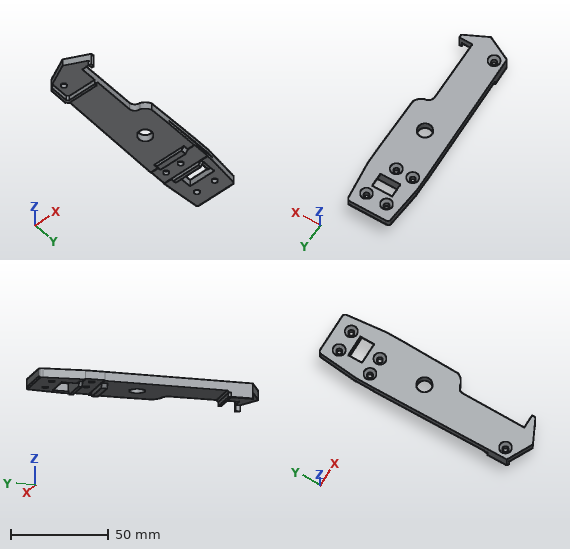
import cadquery as cq

length = 121.2
half_width = 15.0
plate_thickness = 4.8
total_height = 8.0
head_half_width = 12.6
head_corner_radius = 1.8
head_chamfer = 0.7
shoulder_top_y = 97.2
shoulder_bottom_y = 86.9
tip_x = 0.1

tail_left_x = -13.9
tail_left_y = 7.2
neck_x = 6.0
hook_end_x = 13.9
hook_tip_y = 6.8
hook_top_y = 8.7

step_start = (14.4, 53.6)
step_convex_middle = (12.6, 50.9)
step_inflection = (9.9, 49.3)
step_concave_radius = step_inflection[0] - neck_x
step_end = (neck_x, step_inflection[1] - step_concave_radius)

screw_diameter = 3.2
countersink_diameter = 6.7
countersink_angle = 90
screw_positions = [(-6.0, 112.7), (6.0, 112.7), (-9.3, 92.2), (0.6, 92.2), (-8.6, 11.1)]
pivot_diameter = 8.4
pivot_y = 65.1
window_width = 12.1
window_bottom_y = 99.0
window_top_y = 107.3
window_pocket_end_x = 10.4
window_lip_thickness = 0.7

wall_thickness = 1.5
wall_back_y = 19.9
wall_corner = 1.2
wall_fillet_leg = 1.0
rib_height = 2.3
rib_base_half_width = 10.2
rib_crest_half_width = 8.5
lower_rib_width = 3.2
upper_rib_width = 1.8
rib_spans = [
    (shoulder_bottom_y - lower_rib_width, shoulder_bottom_y),
    (shoulder_top_y, shoulder_top_y + upper_rib_width),
]
channel_depth = 0.4
rebate_x = 14.7
rebate_top_z = -2.7


def box(x_range, y_range, z_range):
    """Axis-aligned block between pairs of coordinates."""
    sizes = [high - low for low, high in (x_range, y_range, z_range)]
    corner = (x_range[0], y_range[0], z_range[0])
    return cq.Workplane("XY").box(*sizes, centered=False).translate(corner)


def outline():
    """Closed outer contour of the plate."""
    return (
        cq.Workplane("XY")
        .moveTo(tip_x, 0)
        .lineTo(hook_end_x, hook_tip_y)
        .lineTo(hook_end_x, hook_top_y)
        .lineTo(neck_x, hook_top_y)
        .lineTo(*step_end)
        .radiusArc(step_inflection, step_concave_radius)
        .threePointArc(step_convex_middle, step_start)
        .lineTo(half_width, shoulder_bottom_y)
        .lineTo(half_width, shoulder_top_y)
        .lineTo(head_half_width, length)
        .lineTo(-head_half_width, length)
        .lineTo(-half_width, shoulder_top_y)
        .lineTo(-half_width, shoulder_bottom_y)
        .lineTo(tail_left_x, tail_left_y)
        .close()
    )


def plate():
    """Flat body with rounded head corners and a chamfered lower head edge."""
    body = outline().extrude(-plate_thickness)
    body = body.faces(">Y").edges("|Z").fillet(head_corner_radius)
    bevel = (
        cq.Workplane("YZ", origin=(-half_width, 0, 0))
        .moveTo(length, -plate_thickness)
        .lineTo(length, -plate_thickness + head_chamfer)
        .lineTo(length - head_chamfer, -plate_thickness)
        .close()
        .extrude(2 * half_width)
    )
    return body.cut(bevel)


def tail_walls():
    """Skirt along the left side and across the tail, plus the hook foot."""
    left_x = -half_width
    skirt_z = (-total_height, -plate_thickness)
    ring = box((left_x, neck_x), (0, wall_back_y), skirt_z)
    inner_x = tail_left_x + wall_thickness
    inner_y = wall_back_y - wall_thickness
    cavity = box((inner_x, neck_x), (0, inner_y), skirt_z)
    cavity = cavity.edges("|Z and <X and >Y").chamfer(wall_corner)
    foot = box((hook_end_x - wall_thickness, hook_end_x), (0, hook_top_y), skirt_z)
    gusset = (
        cq.Workplane("YZ", origin=(left_x, 0, 0))
        .moveTo(wall_back_y, -plate_thickness)
        .lineTo(wall_back_y + wall_fillet_leg, -plate_thickness)
        .lineTo(wall_back_y, -plate_thickness - wall_fillet_leg)
        .close()
        .extrude(neck_x - left_x)
    )
    bevel = (
        cq.Workplane("XY", origin=(0, 0, -total_height))
        .moveTo(left_x, wall_back_y)
        .lineTo(tail_left_x + wall_corner, wall_back_y)
        .lineTo(tail_left_x, wall_back_y - wall_corner)
        .lineTo(left_x, wall_back_y - wall_corner)
        .close()
        .extrude(total_height - plate_thickness - wall_fillet_leg)
    )
    footprint = outline().extrude(-total_height)
    return ring.cut(cavity).cut(bevel).union(foot).union(gusset).intersect(footprint)


def rib(front_y, back_y):
    """Cross rib under the plate with sloping ends."""
    crest_z = -plate_thickness - rib_height
    root_z = -plate_thickness + channel_depth
    return (
        cq.Workplane("XZ", origin=(0, back_y, 0))
        .moveTo(-rib_base_half_width, root_z)
        .lineTo(rib_base_half_width, root_z)
        .lineTo(rib_base_half_width, -plate_thickness)
        .lineTo(rib_crest_half_width, crest_z)
        .lineTo(-rib_crest_half_width, crest_z)
        .lineTo(-rib_base_half_width, -plate_thickness)
        .close()
        .extrude(back_y - front_y)
    )


body = plate().union(tail_walls())
for rib_front, rib_back in rib_spans:
    body = body.union(rib(rib_front, rib_back))

channel_z = (-plate_thickness, -plate_thickness + channel_depth)
body = body.cut(box((-half_width, half_width), (shoulder_bottom_y, shoulder_top_y), channel_z))
body = body.cut(box((rebate_x, half_width), (0, length), (-plate_thickness, rebate_top_z)))

window_x = (-window_width / 2, window_width / 2)
window_y = (window_bottom_y, window_top_y)
body = body.cut(box(window_x, window_y, (-plate_thickness, 0)))
pocket_x = (0, window_pocket_end_x)
body = body.cut(box(pocket_x, window_y, (-plate_thickness, -window_lip_thickness)))
body = body.cut(cq.Workplane("XY").center(0, pivot_y).circle(pivot_diameter / 2).extrude(-total_height))
result = (
    body.faces(">Z")
    .workplane(origin=(0, 0, 0))
    .pushPoints(screw_positions)
    .cskHole(screw_diameter, countersink_diameter, countersink_angle)
)